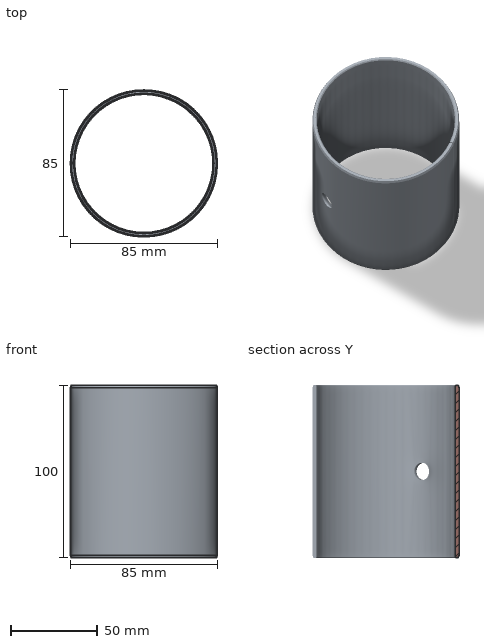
import cadquery as cq

outer_diameter = 85.0
wall = 2.5
length = 100.0
outer_radius = outer_diameter / 2
inner_radius = outer_radius - wall

outer_chamfer_height = 1.5
outer_chamfer_depth = 0.6
inner_chamfer = 0.6

seam_width = 0.5
hole_diameter = 10.0
hole_angle = 58.5


def make_sleeve():
    """Revolve the wall section, with both ends chamfered inside and out."""
    top = length / 2
    section = [
        (inner_radius, top - inner_chamfer),
        (inner_radius + inner_chamfer, top),
        (outer_radius - outer_chamfer_depth, top),
        (outer_radius, top - outer_chamfer_height),
    ]
    mirrored = [(radius, -height) for radius, height in reversed(section)]
    profile = cq.Workplane("XZ").polyline(section + mirrored).close()
    return profile.revolve(360, (0, 0), (0, 1))


def make_seam():
    """Thin full-length slot through the -X wall, with one face on the Y = 0 plane."""
    slot = cq.Workplane("XY").box(2 * wall, seam_width, length)
    return slot.translate((wall / 2 - outer_radius, seam_width / 2, 0))


def make_oil_hole():
    """Radial hole through one wall only."""
    drill = cq.Workplane("YZ").circle(hole_diameter / 2).extrude(outer_diameter)
    return drill.rotate((0, 0, 0), (0, 0, 1), hole_angle)


result = make_sleeve().cut(make_seam()).cut(make_oil_hole())